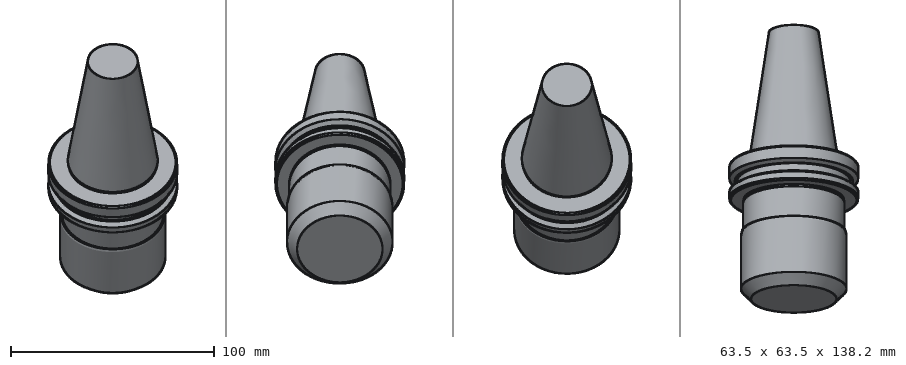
import cadquery as cq

total_height = 138.2
nut_chamfer_height = 5.3
nut_shoulder_z = 32.9
nut_top_z = 34.5
neck_top_z = 50.0
flange_bottom_z = 51.3
groove_lower_rim_z = 55.5
groove_upper_rim_z = 62.5
flange_top_z = 69.3
taper_relief_top_z = 70.1
taper_base_z = 70.5

nut_face_diameter = 42.0
nut_diameter = 52.0
nut_top_diameter = 51.2
neck_diameter = 50.0
neck_relief_diameter = 49.5
flange_diameter = 63.5
groove_diameter = 56.0
taper_relief_diameter = 43.8
taper_base_diameter = 44.4

flange_chamfer = 0.8
groove_flank_height = 1.5
groove_flank_depth = 2.6

taper_ratio = 7 / 24
taper_top_diameter = taper_base_diameter - taper_ratio * (total_height - taper_base_z)

flange_radius = flange_diameter / 2
flange_face_radius = flange_radius - flange_chamfer
groove_shoulder_radius = flange_radius - groove_flank_depth
groove_lower_shoulder_z = groove_lower_rim_z + groove_flank_height
groove_upper_shoulder_z = groove_upper_rim_z - groove_flank_height

nut_profile = [
    (nut_face_diameter / 2, 0),
    (nut_diameter / 2, nut_chamfer_height),
    (nut_diameter / 2, nut_shoulder_z),
    (nut_top_diameter / 2, nut_top_z),
]
neck_profile = [
    (neck_diameter / 2, nut_top_z),
    (neck_diameter / 2, neck_top_z),
    (neck_relief_diameter / 2, neck_top_z),
    (neck_relief_diameter / 2, flange_bottom_z),
]
flange_profile = [
    (flange_face_radius, flange_bottom_z),
    (flange_radius, flange_bottom_z + flange_chamfer),
    (flange_radius, groove_lower_rim_z),
    (groove_shoulder_radius, groove_lower_shoulder_z),
    (groove_diameter / 2, groove_lower_shoulder_z),
    (groove_diameter / 2, groove_upper_shoulder_z),
    (groove_shoulder_radius, groove_upper_shoulder_z),
    (flange_radius, groove_upper_rim_z),
    (flange_radius, flange_top_z - flange_chamfer),
    (flange_face_radius, flange_top_z),
]
taper_profile = [
    (taper_relief_diameter / 2, flange_top_z),
    (taper_relief_diameter / 2, taper_relief_top_z),
    (taper_base_diameter / 2, taper_base_z),
    (taper_top_diameter / 2, total_height),
]

outline = [(0, 0)] + nut_profile + neck_profile + flange_profile + taper_profile + [(0, total_height)]
result = cq.Workplane("XZ").polyline(outline).close().revolve(360, (0, 0, 0), (0, 1, 0))